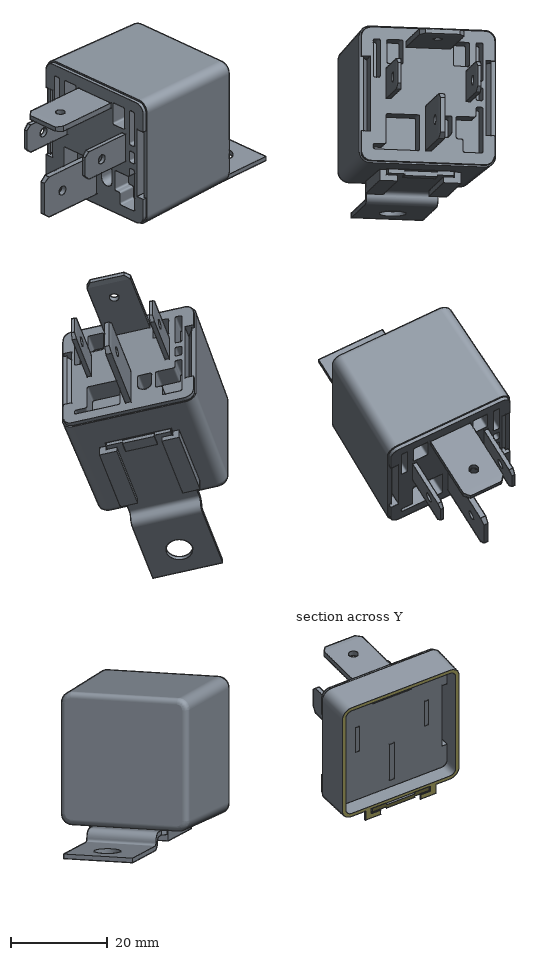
import cadquery as cq


cover_width = 28.8
cover_half = cover_width / 2
cover_back = 26.25
flange_thickness = 0.8
draft = 1.0
corner_radius = 2.35
back_fillet = 1.2
wall = 0.95
flange_inset = 0.35
plug_depth = 5.0

notch_half_height = 7.9
notch_floor_x = 12.2
catch_half_height = 7.6
catch_tip_x = 12.4
catch_ramp_length = 1.75

recess_depth = 4.0
recess_fillet = 0.4
recess_side_x = 11.55
slot_width = 1.45
slot_inner_x = recess_side_x - slot_width
upper_slot_bottom = 3.5
window_inner_x = 5.3
window_outer_x = 8.7
window_bottom = 6.5
small_slot_bottom = -0.6
small_slot_top = 2.1
left_recess_inner_x = -1.8
left_recess_step_x = -8.9
left_recess_step_z = -10.45
right_recess_inner_x = 5.9
right_recess_step_x = 7.35
right_recess_step_z = -8.8
right_recess_arm_top = -2.0
round_recess_inner_x = 2.05
round_recess_outer_x = 5.0
round_recess_bottom = -8.65
recess_top = 11.55
recess_bottom = -11.6
lower_recess_top = -4.1

wide_width = 9.4
wide_thickness = 1.2
wide_tip_y = -15.35
wide_tip_length = 1.3
wide_hole_y = -10.1
narrow_width = 6.4
narrow_thickness = 0.95
narrow_tip_y = -11.8
narrow_tip_length = 1.05
narrow_hole_y = -6.95
terminal_hole = 2.0
tip_side_cut = 1.05
tip_bevel = 0.13
terminal_87_z = 10.6
terminal_30_z = -6.95
coil_terminal_x = 8.4
coil_terminal_z = 2.3

sheet = 1.0
plate_top = -14.2
overall_height = 32.15
tab_bottom = cover_half - overall_height
bracket_front = 7.25
bracket_back = 43.0
leg_back = 28.0
leg_lean = 0.25
upper_bend_radius = 0.95
lower_bend_radius = 0.6
tab_half_width = 7.55
plate_half_width = 6.95
ear_half_width = 8.45
ear_length = 1.05
ear_flat = 0.25
bracket_hole = 5.55
hole_from_end = 6.05
lip_half_width = 3.45
lip_length = 2.35
lip_drop = 0.35
rail_front = 8.05
rail_back = 23.1
rail_half_width = 8.6
rail_bottom = -16.6
rail_gap_half = 4.85
slot_half_width = 7.2
slot_bottom = -15.35


def block(x0, x1, y0, y1, z0, z1):
    """Box between two corners."""
    return cq.Workplane("XY").box(x1 - x0, y1 - y0, z1 - z0, centered=False).translate((x0, y0, z0))


def drafted_block(half, y0, y1, radius):
    """Square block that narrows towards +Y, with its four long edges rounded."""
    plane = cq.Plane(origin=(0, y0, 0), xDir=(-1, 0, 0), normal=(0, 1, 0))
    body = cq.Workplane(plane).rect(2 * half, 2 * half).extrude(y1 - y0, taper=draft)
    return body.edges("not #Y").fillet(radius)


def catch(side):
    """Snap catch inside the cover, ramped at the front; side is -1 or +1."""
    root = side * (cover_half - wall / 2)
    edge = side * (cover_half - wall)
    tip = side * catch_tip_x
    ramp_end = flange_thickness + catch_ramp_length
    outline = [(root, flange_thickness), (edge, flange_thickness), (tip, ramp_end), (root, ramp_end)]
    return (
        cq.Workplane("XY", origin=(0, 0, -catch_half_height))
        .polyline(outline).close()
        .extrude(2 * catch_half_height)
    )


def make_cover():
    shell = drafted_block(cover_half, flange_thickness, cover_back, corner_radius)
    shell = shell.faces(">Y").edges().fillet(back_fillet)

    rails = block(-rail_half_width, rail_half_width, rail_front, rail_back, rail_bottom, plate_top + wall)
    bracket_slot = block(-slot_half_width, slot_half_width, bracket_front, rail_back, slot_bottom, plate_top)
    rail_gap = block(-rail_gap_half, rail_gap_half, rail_front, rail_back, rail_bottom, plate_top)
    shell = shell.union(rails).cut(bracket_slot).cut(rail_gap)

    cavity = drafted_block(cover_half - wall, flange_thickness, cover_back - wall, corner_radius - wall)
    shell = shell.cut(cavity)
    for side in (-1, 1):
        shell = shell.union(catch(side))
    return shell


def recess(points):
    """Blind recess in the base front, from its (x, z) corners."""
    body = cq.Workplane("XZ").polyline(points).close().extrude(-recess_depth)
    return body.edges("|Y").fillet(recess_fillet)


def rectangle(x0, x1, z0, z1):
    return [(x0, z0), (x1, z0), (x1, z1), (x0, z1)]


def base_recesses():
    recesses = []

    for side in (-1, 1):
        slot = rectangle(side * slot_inner_x, side * recess_side_x, upper_slot_bottom, recess_top)
        window = rectangle(side * window_inner_x, side * window_outer_x, window_bottom, recess_top)
        recesses.append(recess(slot))
        recesses.append(recess(window))

    recesses.append(recess(rectangle(slot_inner_x, recess_side_x, small_slot_bottom, small_slot_top)))

    recesses.append(recess([
        (-recess_side_x, recess_bottom),
        (left_recess_inner_x, recess_bottom),
        (left_recess_inner_x, lower_recess_top),
        (left_recess_step_x, lower_recess_top),
        (left_recess_step_x, left_recess_step_z),
        (-recess_side_x, left_recess_step_z),
    ]))

    recesses.append(recess([
        (right_recess_step_x, recess_bottom),
        (recess_side_x, recess_bottom),
        (recess_side_x, right_recess_arm_top),
        (slot_inner_x, right_recess_arm_top),
        (slot_inner_x, lower_recess_top),
        (right_recess_inner_x, lower_recess_top),
        (right_recess_inner_x, right_recess_step_z),
        (right_recess_step_x, right_recess_step_z),
    ]))
    return recesses


def round_bottom_recess():
    """Recess beside terminal 30 with a half-round lower end."""
    x0 = round_recess_inner_x
    x1 = round_recess_outer_x
    radius = (x1 - x0) / 2
    arc_z = round_recess_bottom + radius
    body = (
        cq.Workplane("XZ")
        .moveTo(x0, lower_recess_top)
        .lineTo(x0, arc_z)
        .threePointArc((x0 + radius, arc_z - radius), (x1, arc_z))
        .lineTo(x1, lower_recess_top)
        .close()
        .extrude(-recess_depth)
    )
    return body.faces(">Z").edges("|Y").fillet(recess_fillet)


def make_base(terminals):
    flange_side = 2 * (cover_half - flange_inset)
    flange = (
        cq.Workplane("XZ").rect(flange_side, flange_side).extrude(-flange_thickness)
        .edges("|Y").fillet(corner_radius - flange_inset)
    )
    plug = drafted_block(cover_half - wall, flange_thickness, plug_depth, corner_radius - wall)
    base = flange.union(plug)
    for side in (-1, 1):
        x0, x1 = sorted((side * notch_floor_x, side * cover_half))
        base = base.cut(block(x0, x1, 0, plug_depth, -notch_half_height, notch_half_height))
    for pocket in base_recesses() + [round_bottom_recess()]:
        base = base.cut(pocket)
    for terminal in terminals:
        base = base.cut(terminal)
    return base


def blade(width, thickness, tip_y, tip_length, hole_y):
    """Flat terminal in the XY plane, centred on X and Z, running from the back of the base to tip_y."""
    shoulder_y = tip_y + tip_length

    def tapered(half, cut):
        """Outline across one direction: straight sides, then narrowed at the tip."""
        return [
            (-half, plug_depth), (-half, shoulder_y), (-half + cut, tip_y),
            (half - cut, tip_y), (half, shoulder_y), (half, plug_depth),
        ]

    plan = (
        cq.Workplane("XY").polyline(tapered(width / 2, tip_side_cut)).close()
        .extrude(thickness / 2, both=True)
    )
    side_points = [(y, z) for z, y in tapered(thickness / 2, tip_bevel)]
    profile = cq.Workplane("YZ").polyline(side_points).close().extrude(width / 2, both=True)
    hole = cq.Workplane("XY").center(0, hole_y).circle(terminal_hole / 2).extrude(thickness, both=True)
    return plan.intersect(profile).cut(hole)


def upright(terminal):
    """Turn a flat terminal on edge."""
    return terminal.rotate((0, 0, 0), (0, 1, 0), 90)


def make_wide_terminal():
    return blade(wide_width, wide_thickness, wide_tip_y, wide_tip_length, wide_hole_y)


def make_coil_terminal():
    return upright(blade(narrow_width, narrow_thickness, narrow_tip_y, narrow_tip_length, narrow_hole_y))


def make_bracket():
    plate_bottom = plate_top - sheet
    tab_top = tab_bottom + sheet

    profile = [
        (bracket_front, plate_top),
        (leg_back - leg_lean, plate_top),
        (leg_back, tab_top),
        (bracket_back, tab_top),
        (bracket_back, tab_bottom),
        (leg_back - sheet, tab_bottom),
        (leg_back - sheet - leg_lean, plate_bottom),
        (bracket_front, plate_bottom),
    ]
    strip = cq.Workplane("YZ").polyline(profile).close().extrude(ear_half_width, both=True)

    def round_edge(body, y, z, radius):
        """Round the edge along X that passes nearest to (y, z)."""
        return body.edges(cq.selectors.NearestToPointSelector((0, y, z))).fillet(radius)

    strip = round_edge(strip, leg_back - leg_lean, plate_top, upper_bend_radius + sheet)
    strip = round_edge(strip, leg_back - sheet - leg_lean, plate_bottom, upper_bend_radius)
    strip = round_edge(strip, leg_back, tab_top, lower_bend_radius)
    strip = round_edge(strip, leg_back - sheet, tab_bottom, lower_bend_radius + sheet)

    right_side = [
        (plate_half_width, bracket_front),
        (plate_half_width, rail_back),
        (ear_half_width, rail_back),
        (ear_half_width, rail_back + ear_flat),
        (tab_half_width, rail_back + ear_flat + ear_length),
        (tab_half_width, bracket_back),
    ]
    left_side = [(-x, y) for x, y in reversed(right_side)]
    plan = (
        cq.Workplane("XY", origin=(0, 0, tab_bottom))
        .polyline(right_side + left_side).close()
        .extrude(plate_top - tab_bottom)
    )
    bracket = strip.intersect(plan)

    lip_back = bracket_front + lip_length
    lip = block(-lip_half_width, lip_half_width, bracket_front, lip_back, plate_bottom - lip_drop, plate_top)
    dent = block(-lip_half_width, lip_half_width, bracket_front, lip_back, plate_top - lip_drop, plate_top)
    bracket = bracket.union(lip).cut(dent)

    hole = (
        cq.Workplane("XY", origin=(0, bracket_back - hole_from_end, tab_bottom))
        .circle(bracket_hole / 2)
        .extrude(sheet)
    )
    return bracket.cut(hole)


wide_terminal = make_wide_terminal()
terminal_87 = wide_terminal.translate((0, 0, terminal_87_z))
terminal_30 = upright(wide_terminal).translate((0, 0, terminal_30_z))
coil_terminals = []
for side in (-1, 1):
    coil_terminals.append(make_coil_terminal().translate((side * coil_terminal_x, 0, coil_terminal_z)))
terminals = [terminal_87, terminal_30] + coil_terminals

cover = make_cover()
base = make_base(terminals)
bracket = make_bracket()

result = cq.Compound.makeCompound([
    cover.val(),
    base.val(),
    bracket.val(),
    *[terminal.val() for terminal in terminals],
])